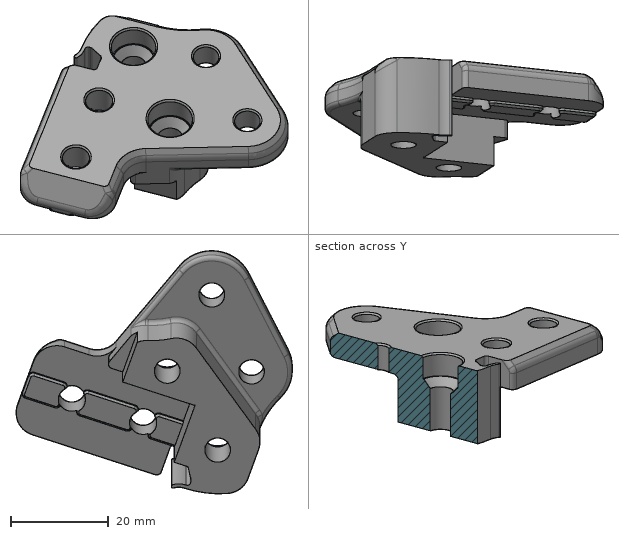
import cadquery as cq
import math

width = 49.0
length = 51.35
height = 16.0
corner_radius = 5.0
edge_chamfer = 1.6
edge_round = 2.0
ridge_round = 1.5
small_round = 1.0

tab_width = 20.25
tab_thickness = 6.0
tab_slope = 4.5
elbow_y = 10.25
tab_floor_x = 23.6
lobe_thickness = 5.7
lobe_radius = 8.35
lobe_pitch = 13.15
back_y = 48.7
back_right_x = 15.4

right_lobe = (width - lobe_radius, length - lobe_radius - lobe_pitch)
back_lobe = (right_lobe[0] - lobe_pitch, length - lobe_radius)

arm_corner_x = 8.85
arm_straight_y = 37.05
arm_outer_radius = 22.35
arm_thickness = 0.75
arm_tip_radius = 3.5
arm_tip_angle = 36.0
notch_y = 32.55
notch_x = 7.2
notch_back_y = 37.85
notch_slope_x = 4.4
notch_slope_angle = 30.0
notch_round = 0.65
plate_corner_round = 1.05

body_front_y = 33.25
body_step_y = 17.55
body_step_z = -9.8
body_right_x = 33.15
front_bulge = (25.7, 20.9)
side_bulge = (body_right_x - corner_radius, 26.45)
waist_radius = 16.95

pad_width = 5.75
pad_height = 1.0
pad_chamfer = 0.45
pad_gap = 3.5
pad_end_y = 37.0

tab_hole_x = 10.1
tab_hole_ys = (10.0, 25.5)
tab_hole_radius = 2.75
lobe_hole_radius = 2.6
hole_chamfer = 0.35
screw_holes = ((12.6, 40.8), (25.45, 25.45))
screw_radius = 2.6
counterbore_radius = 4.55
counterbore_depth = 5.0
seat_radius = 4.3

margin = 5.15
pick = 0.15


def polar(center, radius, degrees):
    """Point on a circle."""
    angle = math.radians(degrees)
    return (center[0] + radius * math.cos(angle), center[1] + radius * math.sin(angle))


def bearing(start, end):
    """Direction from one point to another, in degrees."""
    return math.degrees(math.atan2(end[1] - start[1], end[0] - start[0]))


def add_arc(path, center, radius, start, end):
    """Continue a path along an arc given by its start and end angles."""
    middle = polar(center, radius, (start + end) / 2)
    return path.threePointArc(middle, polar(center, radius, end))


def box(x_range, y_range, z_range):
    sizes = [high - low for low, high in (x_range, y_range, z_range)]
    corner = (x_range[0], y_range[0], z_range[0])
    return cq.Workplane("XY").box(*sizes, centered=False).translate(corner)


def prism(path, top, bottom):
    return path.close().extrude(top - bottom).translate((0, 0, bottom))


elbow = (tab_width + corner_radius, elbow_y)
elbow_to_lobe = math.dist(elbow, right_lobe)
slant_angle = bearing(elbow, right_lobe) - math.degrees(
    math.asin((corner_radius + lobe_radius) / elbow_to_lobe)
)
slant_tan = math.tan(math.radians(slant_angle))
elbow_end = polar(elbow, corner_radius, slant_angle + 90)
slant_corner = (tab_width, elbow_end[1] - (elbow_end[0] - tab_width) * slant_tan)

hollow_run = back_lobe[0] - back_right_x
hollow_drop = back_y - back_lobe[1]
hollow_radius = (hollow_run**2 + hollow_drop**2 - lobe_radius**2) / (2 * (lobe_radius - hollow_drop))
hollow = (back_right_x, back_y + hollow_radius)
hollow_end = bearing(hollow, back_lobe)


def add_lobes(path):
    """Slanted wall, both lobes and the hollow, ending on the back wall."""
    path = path.lineTo(*polar(right_lobe, lobe_radius, slant_angle - 90))
    path = add_arc(path, right_lobe, lobe_radius, slant_angle - 90, 45)
    path = path.lineTo(*polar(back_lobe, lobe_radius, 45))
    path = add_arc(path, back_lobe, lobe_radius, 45, hollow_end + 180)
    return add_arc(path, hollow, hollow_radius, hollow_end, -90)


def add_arm(path):
    """Back left corner, spring arm and notch, ending on the notch's right wall."""
    corner = (arm_corner_x, back_y - corner_radius)
    sweep = math.degrees(math.asin((corner[1] - arm_straight_y) / (arm_outer_radius - corner_radius)))
    arm = polar(corner, arm_outer_radius - corner_radius, -sweep)
    arm_angle = 180 - sweep
    bend = (arm[0] - arm_outer_radius - arm_tip_radius, arm_straight_y)
    tip = polar(bend, arm_tip_radius + arm_thickness / 2, -arm_tip_angle)
    inside_x = bend[0] + arm_tip_radius + arm_thickness
    slope_drop = (notch_x - notch_slope_x) * math.tan(math.radians(notch_slope_angle))

    path = path.lineTo(arm_corner_x, back_y)
    path = add_arc(path, corner, corner_radius, 90, arm_angle)
    path = add_arc(path, arm, arm_outer_radius, arm_angle, 180)
    path = add_arc(path, bend, arm_tip_radius, 0, -arm_tip_angle)
    path = add_arc(path, tip, arm_thickness / 2, 180 - arm_tip_angle, 360 - arm_tip_angle)
    path = add_arc(path, bend, arm_tip_radius + arm_thickness, -arm_tip_angle, 0)
    path = path.lineTo(inside_x, notch_back_y)
    path = path.lineTo(notch_slope_x, notch_back_y)
    return path.lineTo(notch_x, notch_back_y - slope_drop)


def edges_near(solid, low, high):
    """Edges whose centre lies in the box between two corners."""
    return solid.edges(cq.selectors.BoxSelector(low, high))


def round_notch(solid, front_y):
    """Round the notch's vertical corners that lie behind front_y."""
    low = (notch_slope_x - 3 * notch_round, front_y, -height)
    high = (notch_x + pick, notch_back_y + pick, 0)
    return edges_near(solid, low, high).edges("|Z").fillet(notch_round)


def make_plate_blank():
    """Plate with square left corners, chamfered on top, sloped at the front."""
    path = cq.Workplane("XY").moveTo(0, 0).lineTo(tab_width, 0).lineTo(tab_width, elbow_y)
    path = add_arc(path, elbow, corner_radius, 180, slant_angle + 90)
    path = add_lobes(path).lineTo(0, back_y)
    blank = prism(path, 0, -tab_thickness)
    blank = blank.faces(">Z").edges("not(<Y)").chamfer(edge_chamfer)
    slope = (
        cq.Workplane("YZ")
        .polyline([(-margin, -tab_slope - margin), (tab_slope + margin, margin), (-margin, margin)])
        .close()
        .extrude(tab_width)
    )
    blank = blank.cut(slope)
    ridge_y = tab_slope - edge_chamfer / 2
    low = (0, ridge_y - pick, -edge_chamfer / 2 - pick)
    high = (tab_width, ridge_y + pick, -edge_chamfer / 2 + pick)
    return edges_near(blank, low, high).fillet(ridge_round)


def make_plate_outline():
    path = cq.Workplane("XY").moveTo(0, corner_radius)
    path = add_arc(path, (corner_radius, corner_radius), corner_radius, 180, 270)
    path = path.lineTo(tab_width - corner_radius, 0)
    path = add_arc(path, (tab_width - corner_radius, corner_radius), corner_radius, 270, 360)
    path = path.lineTo(tab_width, elbow_y)
    path = add_arc(path, elbow, corner_radius, 180, slant_angle + 90)
    path = add_arm(add_lobes(path)).lineTo(notch_x, notch_y).lineTo(0, notch_y)
    return round_notch(prism(path, 0, -tab_thickness), notch_y - pick)


def round_plate_rim(plate):
    """Round the chamfer, and the slope's foot, into the side walls."""
    low = (-pick, corner_radius, -edge_chamfer - pick)
    high = (width + pick, length + pick, -edge_chamfer + pick)
    rim = edges_near(plate, low, high)
    low = (0, -pick, -tab_slope - pick)
    high = (tab_width, pick, -tab_slope + pick)
    foot = edges_near(plate, low, high)
    return plate.newObject(rim.vals() + foot.vals()).fillet(edge_round)


def round_plate_corner(plate):
    """Round the corner where the left wall ends at the notch."""
    low = (-pick, notch_y - pick, -tab_thickness + pick)
    high = (edge_chamfer - pick, notch_y + pick, -pick)
    return edges_near(plate, low, high).fillet(plate_corner_round)


def make_lobe_region():
    """Space the lobes may fill, with a rounded underside."""
    path = add_lobes(cq.Workplane("XY").moveTo(*slant_corner)).lineTo(back_right_x, slant_corner[1])
    region = prism(path, 0, -lobe_thickness)
    return region.faces("<Z").edges("%CIRCLE").fillet(small_round)


def make_plate():
    plate = make_plate_blank().intersect(make_plate_outline())
    plate = round_plate_corner(round_plate_rim(plate))
    tab_region = box((0, tab_floor_x), (0, body_front_y), (-tab_thickness, 0))
    arm_region = box((0, back_right_x), (body_front_y, back_y), (-lobe_thickness, 0))
    return plate.intersect(tab_region.union(arm_region).union(make_lobe_region()))


def find_waist():
    """Centre of the hollow arc that touches both bulges from the right."""
    middle = ((front_bulge[0] + side_bulge[0]) / 2, (front_bulge[1] + side_bulge[1]) / 2)
    half_gap = math.dist(front_bulge, side_bulge) / 2
    reach = math.sqrt((corner_radius + waist_radius) ** 2 - half_gap**2)
    return polar(middle, reach, bearing(front_bulge, side_bulge) - 90)


def find_bulge_start():
    """Angle at which the front bulge's circle crosses the slanted wall."""
    run = front_bulge[0] - slant_corner[0]
    rise = front_bulge[1] - slant_corner[1]
    distance_to_wall = (rise - run * slant_tan) * math.cos(math.radians(slant_angle))
    return slant_angle - 90 + math.degrees(math.acos(distance_to_wall / corner_radius))


def make_body():
    body_top = small_round - lobe_thickness
    waist = find_waist()
    front_start = find_bulge_start()
    front_end = bearing(front_bulge, waist)
    side_start = bearing(side_bulge, waist)
    back_corner = (back_right_x, back_y - corner_radius)
    back_angle = bearing(side_bulge, back_corner) - 90

    path = cq.Workplane("XY").moveTo(*slant_corner)
    path = path.lineTo(*polar(front_bulge, corner_radius, front_start))
    path = add_arc(path, front_bulge, corner_radius, front_start, front_end)
    path = add_arc(path, waist, waist_radius, front_end + 180, side_start + 180)
    path = add_arc(path, side_bulge, corner_radius, side_start, back_angle)
    path = path.lineTo(*polar(back_corner, corner_radius, back_angle))
    path = add_arc(path, back_corner, corner_radius, back_angle, 90)
    path = add_arm(path).lineTo(notch_x, body_front_y).lineTo(tab_width, body_front_y)
    body = round_notch(prism(path, body_top, -height), body_front_y + pick)
    corner_low = (tab_width - pick, slant_corner[1] - pick, -height)
    corner_high = (tab_width + pick, slant_corner[1] + pick, 0)
    body = edges_near(body, corner_low, corner_high).fillet(small_round)
    step = box((tab_width - margin, width), (0, body_step_y), (-height - margin, body_step_z))
    return body.cut(step)


def make_back_edge():
    """Keep the straight back edge a plain chamfer, without the round."""
    edge = box((arm_corner_x, back_right_x), (back_y - corner_radius, back_y), (-lobe_thickness, 0))
    return edge.edges(">Y and >Z").chamfer(edge_chamfer)


def round_under_lobes(solid):
    """Blend the body's walls into the underside of the lobes."""
    high = (side_bulge[0], back_y - corner_radius, pick - lobe_thickness)
    low = (back_right_x + corner_radius, side_bulge[1] + corner_radius, -lobe_thickness - pick)
    return edges_near(solid, low, high).fillet(small_round)


def make_pads():
    """Row of rounded pads under the tab, separated by gaps at the holes."""
    starts = [0] + [hole_y + pad_gap / 2 for hole_y in tab_hole_ys]
    ends = [hole_y - pad_gap / 2 for hole_y in tab_hole_ys] + [pad_end_y]
    pads = cq.Workplane("XY")
    for start, end in zip(starts, ends):
        x_range = (tab_hole_x - pad_width / 2, tab_hole_x + pad_width / 2)
        pad = box(x_range, (start, end), (-tab_thickness - pad_height, -tab_thickness))
        pad = pad.edges("|Z").fillet(small_round)
        pads = pads.add(pad.faces("<Z").chamfer(pad_chamfer))
    return pads.combine()


def revolve_tool(profile, center):
    tool = cq.Workplane("XZ").polyline(profile).close().revolve(360, (0, 0), (0, 1))
    return tool.translate((*center, 0))


def make_hole(center, radius):
    """Through hole whose rim is chamfered at the top face."""
    rim = radius + hole_chamfer
    profile = [(0, -height), (radius, -height), (radius, -hole_chamfer), (rim, 0), (0, 0)]
    return revolve_tool(profile, center)


def make_screw_hole(center):
    """Counterbored hole with a 90 degree conical seat."""
    seat_depth = counterbore_depth + seat_radius - screw_radius
    profile = [
        (0, -height),
        (screw_radius, -height),
        (screw_radius, -seat_depth),
        (seat_radius, -counterbore_depth),
        (counterbore_radius, -counterbore_depth),
        (counterbore_radius, -hole_chamfer),
        (counterbore_radius + hole_chamfer, 0),
        (0, 0),
    ]
    return revolve_tool(profile, center)


result = make_plate().union(make_body()).union(make_back_edge())
result = round_under_lobes(result).union(make_pads())
for hole_y in tab_hole_ys:
    result = result.cut(make_hole((tab_hole_x, hole_y), tab_hole_radius))
for lobe_center in (right_lobe, back_lobe):
    result = result.cut(make_hole(lobe_center, lobe_hole_radius))
for screw_center in screw_holes:
    result = result.cut(make_screw_hole(screw_center))